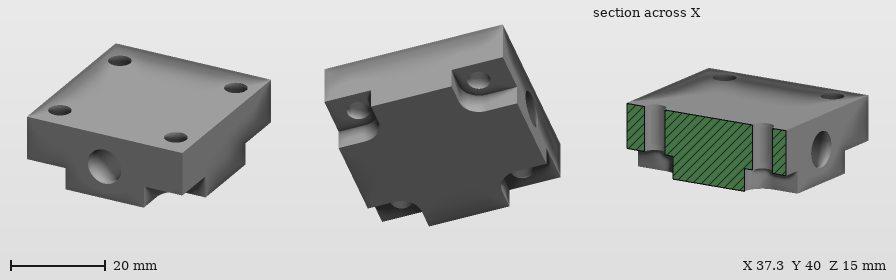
import cadquery as cq

width = 37.28
depth = 40.0
height = 15.0

bore_diameter = 8.0
bore_height = height / 2

screw_hole_diameter = 5.0
hole_spacing_x = 27.8
hole_spacing_y = 27.0
hole_pattern_offset_y = -0.5

relief_radius = 4.5
relief_height = 5.0

signs = (-1, 1)
corners = [(side_x, side_y) for side_x in signs for side_y in signs]


def hole_centre(side_x, side_y):
    """Centre of the screw hole nearest the given corner."""
    x = side_x * hole_spacing_x / 2
    y = side_y * hole_spacing_y / 2 + hole_pattern_offset_y
    return x, y


def screw_hole(side_x, side_y):
    """Cylinder through the full height of the block."""
    return (
        cq.Workplane("XY")
        .center(*hole_centre(side_x, side_y))
        .circle(screw_hole_diameter / 2)
        .extrude(height)
    )


def corner_relief(side_x, side_y):
    """Corner pocket whose inner corner is rounded concentrically with the screw hole."""
    hole_x, hole_y = hole_centre(side_x, side_y)
    corner_x = side_x * width / 2
    corner_y = side_y * depth / 2
    inner_x = hole_x - side_x * relief_radius
    inner_y = hole_y - side_y * relief_radius
    arc_reach = relief_radius * 0.5 ** 0.5
    arc_middle = (hole_x - side_x * arc_reach, hole_y - side_y * arc_reach)
    return (
        cq.Workplane("XY")
        .moveTo(corner_x, corner_y)
        .lineTo(corner_x, inner_y)
        .lineTo(hole_x, inner_y)
        .threePointArc(arc_middle, (inner_x, hole_y))
        .lineTo(inner_x, corner_y)
        .close()
        .extrude(relief_height)
    )


def cross_bore():
    """Horizontal cylinder running through the block along Y."""
    return (
        cq.Workplane("XZ")
        .center(0, bore_height)
        .circle(bore_diameter / 2)
        .extrude(depth / 2, both=True)
    )


result = cq.Workplane("XY").box(width, depth, height, centered=(True, True, False))
result = result.cut(cross_bore())
for side_x, side_y in corners:
    result = result.cut(corner_relief(side_x, side_y))
    result = result.cut(screw_hole(side_x, side_y))